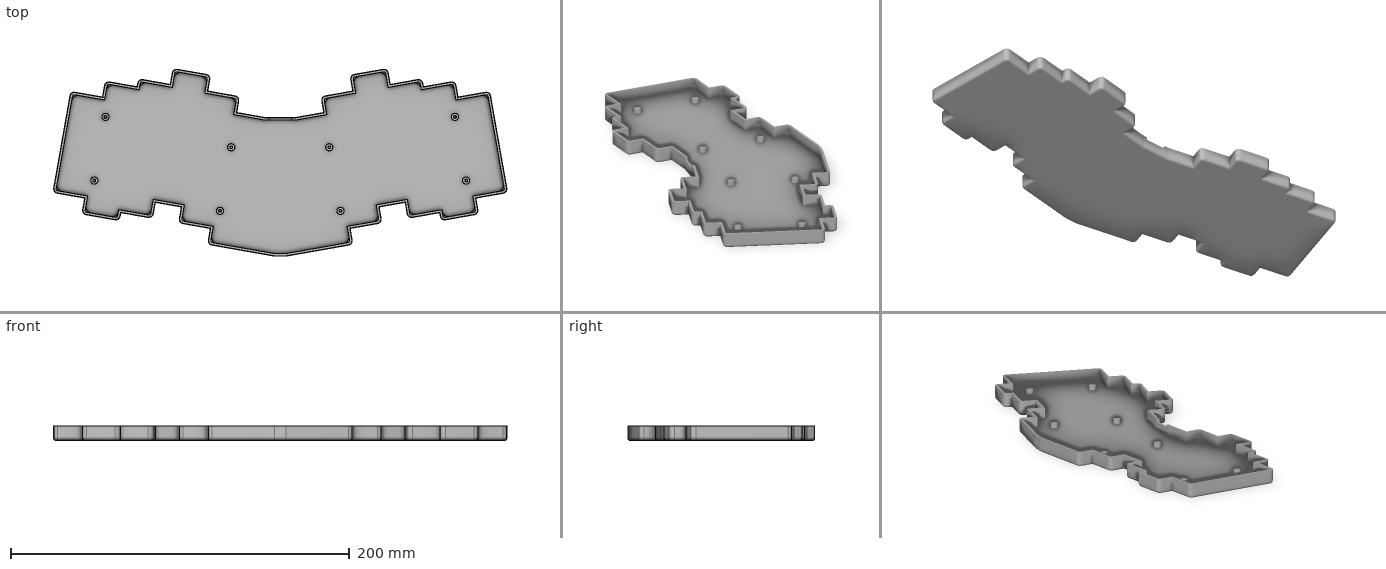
import cadquery as cq
import math

key_pitch = 19.05
half_tilt = 10.0
inner_gap = 22.51
columns = [(0.75, 3), (0.25, 4), (0.5, 4), (1.0, 4), (0.5, 4), (0.0, 4)]

border = 1.7
wall = 1.5
height = 8.6
floor_thickness = 2.0
outer_corner_radius = 2.7
bottom_radius = 1.5
front_flat = 7.05
back_flat = 18.0

support_height = 3.0
cavity_corner_radius = 3.8
seat_corner_radius = outer_corner_radius - wall

notch_width = 13.4
notch_depth = 2.0

standoff_diameter = 4.23
screw_hole_diameter = 1.62
standoff_offset = 2.1
standoff_places = [(1, 1.25), (1, 3.25), (5, 1.0), (5, 3.0)]

tilt_cos = math.cos(math.radians(half_tilt))
tilt_sin = math.sin(math.radians(half_tilt))
grid_left = -inner_gap - len(columns) * key_pitch
column_lows = [start * key_pitch for start, rows in columns]
column_highs = [(start + rows) * key_pitch for start, rows in columns]
support_top = floor_thickness + support_height
square_corner_sine = 0.5
position_tolerance = 0.01


def turned(u, v):
    """Plan position of a point given along and across the left half's key columns."""
    return (u * tilt_cos + v * tilt_sin, v * tilt_cos - u * tilt_sin)


def edge_crossing(v, x):
    """Plan position where the left half's line at height v reaches the given x."""
    return (x, (v - x * tilt_sin) / tilt_cos)


def side_steps(levels, margin, direction):
    """Corners of one stepped side of the left half, from the outside in."""
    corners = [turned(grid_left - margin, levels[0] + direction * margin)]
    for index in range(1, len(levels)):
        before = levels[index - 1] + direction * margin
        after = levels[index] + direction * margin
        grows = (after - before) * direction > 0
        u = grid_left + index * key_pitch + (-margin if grows else margin)
        corners += [turned(u, before), turned(u, after)]
    return corners


def outline(margin):
    """Closed plan outline standing off the key grid by the given margin."""
    inset = (border - margin) * math.tan(math.radians(half_tilt / 2))
    near = side_steps(column_lows, margin, -1)
    near.append(edge_crossing(column_lows[-1] - margin, inset - front_flat / 2))
    far = side_steps(column_highs, margin, 1)
    far.append(edge_crossing(column_highs[-1] + margin, -inset - back_flat / 2))
    left = far[::-1] + near
    right = [(-x, y) for x, y in reversed(left)]
    return left + right


def convex_corners(points):
    """Corners of a counter-clockwise outline that point outward at a right angle."""
    found = []
    for index, (x, y) in enumerate(points):
        x0, y0 = points[index - 1]
        x1, y1 = points[(index + 1) % len(points)]
        cross = (x - x0) * (y1 - y) - (y - y0) * (x1 - x)
        lengths = math.hypot(x - x0, y - y0) * math.hypot(x1 - x, y1 - y)
        if cross > square_corner_sine * lengths:
            found.append((x, y))
    return found


def prism(margin, bottom, depth, corner_radius):
    """Upright block on the outline with its outward corners rounded."""
    points = outline(margin)
    block = cq.Workplane("XY").workplane(offset=bottom).polyline(points).close().extrude(depth)
    corners = convex_corners(points)
    picked = []
    for edge in block.edges("|Z").vals():
        place = (edge.Center().x, edge.Center().y)
        if any(math.dist(place, corner) < position_tolerance for corner in corners):
            picked.append(edge)
    return block.newObject(picked).fillet(corner_radius)


def tray():
    """Open tray with a rounded bottom edge and ledges in its inner corners."""
    shell = prism(border, 0, height, outer_corner_radius).faces("<Z").fillet(bottom_radius)
    cavity = prism(border - wall, floor_thickness, support_height, cavity_corner_radius)
    seat = prism(border - wall, support_top, height - support_top, seat_corner_radius)
    return shell.cut(cavity).cut(seat)


def rim_notch():
    """Cutter for the notch in the rim of the far wall."""
    wall_y = edge_crossing(column_highs[-1] + border, -back_flat / 2)[1]
    cutter = cq.Workplane("XY").box(notch_width, 4 * wall, notch_depth, centered=(True, True, False))
    return cutter.translate((0, wall_y, height - notch_depth))


def standoffs():
    """Round posts with screw holes, mirrored about the centre line."""
    places = []
    for column, row in standoff_places:
        x, y = turned(grid_left + column * key_pitch + standoff_offset, row * key_pitch)
        places += [(x, y), (-x, y)]
    return (
        cq.Workplane("XY")
        .workplane(offset=floor_thickness)
        .pushPoints(places)
        .circle(standoff_diameter / 2)
        .circle(screw_hole_diameter / 2)
        .extrude(support_height)
    )


result = tray().cut(rim_notch()).union(standoffs())